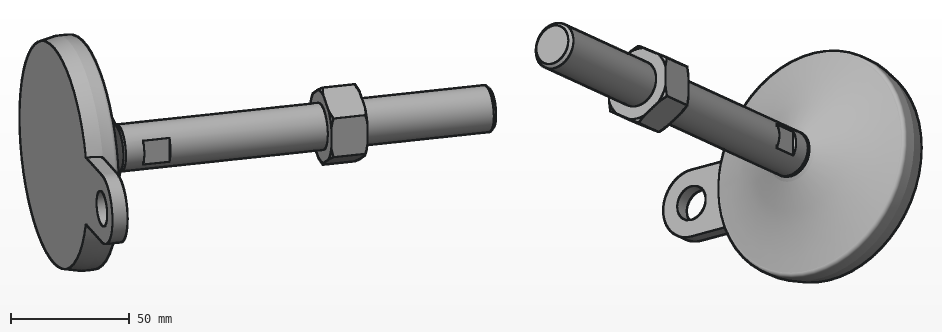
import cadquery as cq
import math

total_length = 193.0
total_width = 134.0

base_radius = 100.0 / 2
sole_radius = 48.5
taper_height = 7.1
rim_rounding = 1.7
shoulder_height = 13.9
shoulder_radius = base_radius - rim_rounding
rim_top = shoulder_height - rim_rounding
crown_radius = 12.0
crown_height = 26.6
crown_top = 27.8
crown_top_radius = 10.0
flare_sag = 1.4

lug_radius = 15.0
lug_thickness = 6.8
lug_hole_diameter = 15.0
lug_center_x = total_width - base_radius - lug_radius

rod_radius = 20.0 / 2
rod_start = 29.0
rod_chamfer = 1.5
neck_radius = 10.0 / 2
flat_distance = 8.5
flat_start = 37.0
flat_length = 11.5

nut_across_flats = 30.1
nut_start = 118.1
nut_height = 16.0
nut_chamfer_width = 1.7
nut_chamfer_height = 1.0


def make_base():
    chord_r = shoulder_radius - crown_radius
    chord_y = crown_height - shoulder_height
    chord = math.hypot(chord_r, chord_y)
    flare_middle = (
        (shoulder_radius + crown_radius) / 2 - flare_sag * chord_y / chord,
        (shoulder_height + crown_height) / 2 - flare_sag * chord_r / chord,
    )
    profile = (
        cq.Workplane("XY")
        .lineTo(sole_radius, 0)
        .lineTo(base_radius, taper_height)
        .lineTo(base_radius, rim_top)
        .radiusArc((shoulder_radius, shoulder_height), -rim_rounding)
        .threePointArc(flare_middle, (crown_radius, crown_height))
        .lineTo(crown_top_radius, crown_top)
        .lineTo(0, crown_top)
        .close()
    )
    return profile.revolve(360, (0, 0, 0), (0, 1, 0))


def along_y(start):
    """Workplane across the rod axis at Y = start; extrusion runs toward +Y."""
    return cq.Workplane("ZX", origin=(0, start, 0))


def make_lug():
    bar = cq.Workplane("XY").box(
        lug_center_x, lug_thickness, 2 * lug_radius, centered=(False, False, True)
    )
    eye = along_y(0).center(0, lug_center_x).circle(lug_radius).extrude(lug_thickness)
    hole = along_y(0).center(0, lug_center_x).circle(lug_hole_diameter / 2).extrude(lug_thickness)
    return bar.union(eye).cut(hole)


def make_rod():
    rod = along_y(rod_start).circle(rod_radius).extrude(total_length - rod_start)
    rod = rod.faces(">Y").chamfer(rod_chamfer)
    for side in (-1, 1):
        cutter = cq.Workplane("XY").box(rod_radius, flat_length, 2 * rod_radius).translate(
            (side * (flat_distance + rod_radius / 2), flat_start + flat_length / 2, 0)
        )
        rod = rod.cut(cutter)
    neck = along_y(crown_height).circle(neck_radius).extrude(rod_start - crown_height)
    return rod.union(neck)


def make_nut():
    corner_diameter = nut_across_flats / math.cos(math.pi / 6)
    hexagon = along_y(nut_start).polygon(6, corner_diameter).extrude(nut_height)
    envelope = along_y(nut_start).circle(corner_diameter / 2).extrude(nut_height)
    envelope = envelope.faces("<Y or >Y").chamfer(nut_chamfer_height, nut_chamfer_width)
    return hexagon.intersect(envelope)


result = make_base().union(make_lug()).union(make_rod()).union(make_nut())